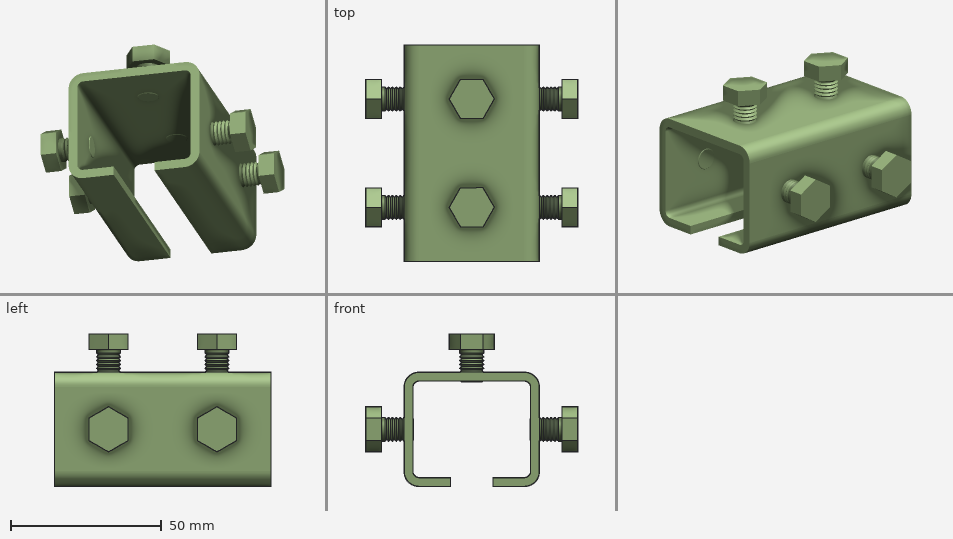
import cadquery as cq
import math

channel_width = 45.0
channel_height = 38.0
channel_length = 72.0
wall = 3.0
outer_bend_radius = 5.0
inner_bend_radius = outer_bend_radius - wall
slot_width = 14.0

bolt_spacing = 36.0
bolt_rows = (-bolt_spacing / 2, bolt_spacing / 2)
side_bolt_height = channel_height / 2
bolt_projection = 12.745
tip_overhang = 0.21
tip_depth = wall + tip_overhang
top_bolt_turn = 0.4

head_height = 5.3
head_across_flats = 13.0
head_across_corners = head_across_flats / math.cos(math.pi / 6)
shank_length = bolt_projection + tip_depth - head_height
thread_crest_radius = 8.0 / 2
thread_root_radius = 6.75 / 2
crest_count = 8
collar_length = 1.05
thread_pitch = (shank_length - collar_length) / (crest_count - 0.5)


def make_channel_blank():
    """Hollow rounded tube along Y, with the slot cut through its floor."""
    outside = (
        cq.Workplane("XY")
        .box(channel_width, channel_length, channel_height, centered=(True, True, False))
        .edges("|Y")
        .fillet(outer_bend_radius)
    )
    cavity_width = channel_width - 2 * wall
    cavity_height = channel_height - 2 * wall
    cavity = (
        cq.Workplane("XY")
        .box(cavity_width, channel_length, cavity_height, centered=(True, True, False))
        .edges("|Y")
        .fillet(inner_bend_radius)
        .translate((0, 0, wall))
    )
    slot = cq.Workplane("XY").box(slot_width, channel_length, wall, centered=(True, True, False))
    return outside.cut(cavity).cut(slot)


def make_bolt():
    """Bolt along Z with its tip at the origin and its head on top."""
    profile = cq.Workplane("XZ").lineTo(thread_root_radius, 0)
    for ring in range(crest_count):
        root_height = ring * thread_pitch
        if ring > 0:
            profile = profile.lineTo(thread_root_radius, root_height)
        profile = profile.lineTo(thread_crest_radius, root_height + thread_pitch / 2)
    profile = profile.lineTo(thread_crest_radius, shank_length).lineTo(0, shank_length).close()
    shank = profile.revolve(360, (0, 0, 0), (0, 1, 0))
    head = (
        cq.Workplane("XY")
        .workplane(offset=shank_length)
        .polygon(6, head_across_corners)
        .extrude(head_height)
    )
    return shank.union(head)


def make_top_bolt(row):
    """Bolt pointing down through the top wall."""
    turned = make_bolt().rotate((0, 0, 0), (0, 0, 1), top_bolt_turn)
    return turned.translate((0, row, channel_height - tip_depth))


def make_side_bolt(row, side):
    """Bolt pointing inward through a side wall; side is -1 for -X and 1 for +X."""
    laid_over = make_bolt().rotate((0, 0, 0), (0, 1, 0), side * 90)
    tip_x = side * (channel_width / 2 - tip_depth)
    return laid_over.translate((tip_x, row, side_bolt_height))


bolts = []
for row in bolt_rows:
    bolts.append(make_top_bolt(row))
    for side in (-1, 1):
        bolts.append(make_side_bolt(row, side))

channel = make_channel_blank()
for bolt in bolts:
    channel = channel.cut(bolt)

bodies = [channel] + bolts
result = cq.Compound.makeCompound([body.solids().val() for body in bodies])